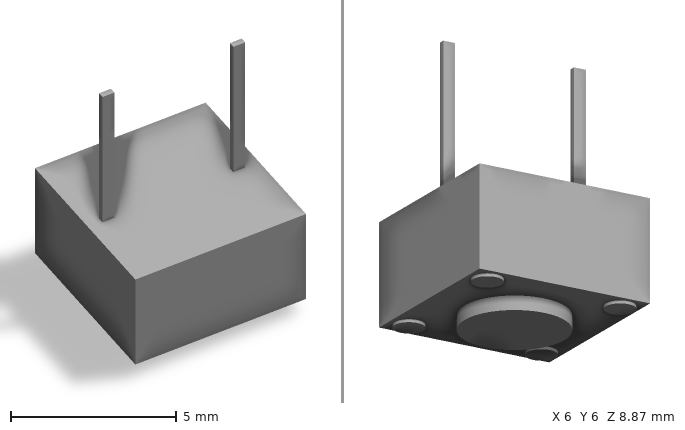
import cadquery as cq

housing_side = 6.0
housing_height = 3.4

button_diameter = 3.5
button_height = 0.47

stud_diameter = 1.0
stud_height = 0.1
stud_offset = 2.33

total_height = 8.87
pin_thickness = 0.2
pin_width = 0.42
pin_height = total_height - housing_height - button_height
pin_x = 0.1
pin_y_offset = 2.3


def make_housing():
    """Square block with its underside at Z = 0."""
    return cq.Workplane("XY").box(housing_side, housing_side, housing_height, centered=(True, True, False))


def make_disc(diameter, height, x, y):
    """Round disc hanging from the underside of the housing."""
    return cq.Workplane("XY").center(x, y).circle(diameter / 2).extrude(-height)


def make_pin(y):
    """Rectangular pin standing on the top face of the housing."""
    return (
        cq.Workplane("XY")
        .workplane(offset=housing_height)
        .center(pin_x, y)
        .rect(pin_thickness, pin_width)
        .extrude(pin_height)
    )


housing = make_housing()
button = make_disc(button_diameter, button_height, 0, 0)
studs = [
    make_disc(stud_diameter, stud_height, x_side * stud_offset, y_side * stud_offset)
    for x_side in (-1, 1)
    for y_side in (-1, 1)
]
pins = [make_pin(y_side * pin_y_offset) for y_side in (-1, 1)]

result = cq.Compound.makeCompound(
    [
        housing.val(),
        button.val(),
        *[stud.val() for stud in studs],
        *[pin.val() for pin in pins],
    ]
)